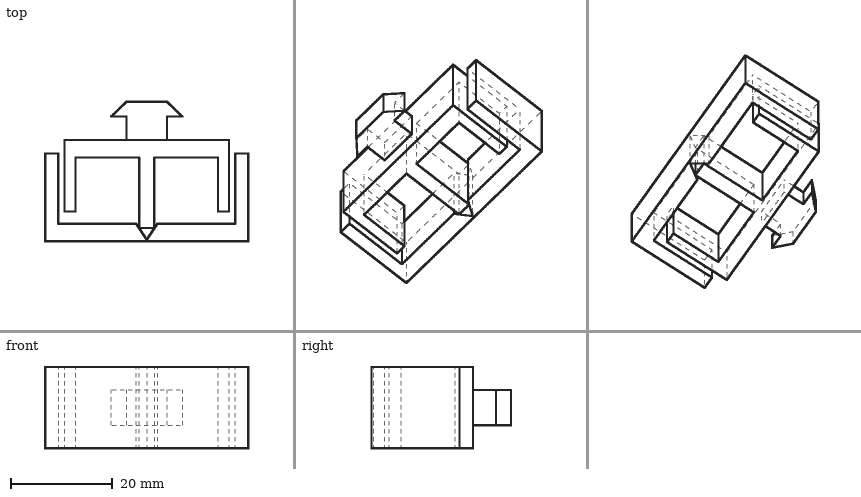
import cadquery as cq

height = 16.0

cradle_width = 40.0
cradle_depth = 17.32
cradle_floor = 3.5
cradle_wall = 2.6
notch_half_width = 2.08
notch_skin = 0.38

slider_width = 32.4
slider_back_y = 20.0
plate_thickness = 3.5
leg_thickness = 2.2
leg_length = 10.65
blade_thickness = 3.0
neck_width = 8.0
neck_length = 4.55
barb_width = 14.0
barb_length = 2.95
tab_height = 7.0

notch_depth = cradle_floor - notch_skin
blade_tip_y = notch_skin + notch_depth * (blade_thickness / 2) / notch_half_width
plate_inner_y = slider_back_y - plate_thickness


def block(x_center, width, y_start, y_end):
    """Full-height rectangular block spanning the given width and Y range."""
    depth = y_end - y_start
    return (
        cq.Workplane("XY")
        .center(x_center, y_start + depth / 2)
        .rect(width, depth)
        .extrude(height)
    )


def make_cradle():
    channel_width = cradle_width - 2 * cradle_wall
    body = block(0, cradle_width, 0, cradle_depth)
    channel = block(0, channel_width, cradle_floor, cradle_depth)
    notch = (
        cq.Workplane("XY")
        .moveTo(-notch_half_width, cradle_floor)
        .lineTo(0, notch_skin)
        .lineTo(notch_half_width, cradle_floor)
        .close()
        .extrude(height)
    )
    return body.cut(channel).cut(notch)


def make_tab():
    """Barbed tab: a neck ending in an arrow-like head, centred on the height."""
    shoulder_y = slider_back_y + neck_length
    tip_y = shoulder_y + barb_length
    return (
        cq.Workplane("XY")
        .workplane(offset=(height - tab_height) / 2)
        .moveTo(-neck_width / 2, plate_inner_y)
        .lineTo(-neck_width / 2, shoulder_y)
        .lineTo(-barb_width / 2, shoulder_y)
        .lineTo(-neck_width / 2, tip_y)
        .lineTo(neck_width / 2, tip_y)
        .lineTo(barb_width / 2, shoulder_y)
        .lineTo(neck_width / 2, shoulder_y)
        .lineTo(neck_width / 2, plate_inner_y)
        .close()
        .extrude(tab_height)
    )


def make_slider():
    body = block(0, slider_width, plate_inner_y, slider_back_y)
    leg_x = (slider_width - leg_thickness) / 2
    for side in (-1, 1):
        leg = block(side * leg_x, leg_thickness, plate_inner_y - leg_length, plate_inner_y)
        body = body.union(leg)
    blade = block(0, blade_thickness, blade_tip_y, plate_inner_y)
    return body.union(blade).union(make_tab())


cradle = make_cradle()
slider = make_slider()

result = cq.Compound.makeCompound([cradle.solids().val(), slider.solids().val()])